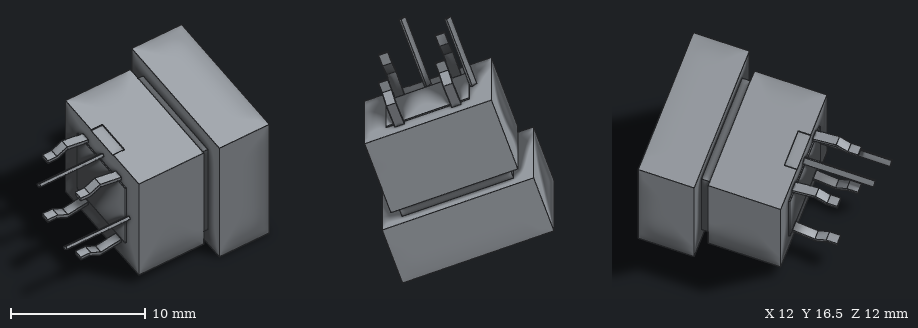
import cadquery as cq
import math


TOTAL_LENGTH = 16.54
CAP_SIDE = 12.0

HOUSING_SIDE = 10.05
HOUSING_LENGTH = 5.75
NECK_SIDE = 8.83
NECK_LENGTH = 0.75
LEAD_LENGTH = 5.6
CAP_LENGTH = TOTAL_LENGTH - LEAD_LENGTH - HOUSING_LENGTH - NECK_LENGTH

PAD_WIDTH = 6.6
PAD_HEIGHT = 6.0
PAD_THICKNESS = 0.1

RECESS_WIDTH = 3.0
RECESS_LENGTH = 1.0
RECESS_DEPTH = 0.1

TERMINAL_WIDTH = 0.75
TERMINAL_THICKNESS = 0.3
TERMINAL_SPACING = 4.5
TERMINAL_LENGTH = 3.6
KINK_DISTANCE = 1.85
TIP_START_DISTANCE = 2.76
ROOT_HEIGHT = 3.43
KINK_HEIGHT = 3.75
TIP_HEIGHT = 3.25

LEAD_WIDTH = 0.5
LEAD_THICKNESS = 0.25
LEAD_ANGLE = 45.0
LEAD_OFFSET = 3.6
LEAD_POSITIONS = [(0, LEAD_OFFSET), (LEAD_OFFSET, 0)]


def block(width, height, y_start, y_end):
    """Box centred on the Y axis, between two Y positions."""
    length = y_end - y_start
    return cq.Workplane("XY").box(width, length, height).translate((0, y_start + length / 2, 0))


def make_body():
    """Housing, neck and cap stacked along +Y, with the pad on the mounting face."""
    neck_start = HOUSING_LENGTH
    cap_start = neck_start + NECK_LENGTH
    housing = block(HOUSING_SIDE, HOUSING_SIDE, 0, neck_start)
    neck = block(NECK_SIDE, NECK_SIDE, neck_start, cap_start)
    cap = block(CAP_SIDE, CAP_SIDE, cap_start, cap_start + CAP_LENGTH)
    pad = block(PAD_WIDTH, PAD_HEIGHT, -PAD_THICKNESS, 0)
    return housing.union(neck).union(cap).union(pad)


def make_recess():
    """Cutter for the recess in the top of the housing."""
    recess = block(RECESS_WIDTH, 2 * RECESS_DEPTH, 0, RECESS_LENGTH)
    return recess.translate((0, 0, HOUSING_SIDE / 2))


def miter_rise(slope_before, slope_after):
    """Shift of an offset corner along and across the Y axis, for two segment slopes in radians."""
    mean_angle = (slope_before + slope_after) / 2
    reach = TERMINAL_THICKNESS / 2 / math.cos((slope_after - slope_before) / 2)
    return -reach * math.sin(mean_angle), reach * math.cos(mean_angle)


def make_terminal(x_center):
    """Upper terminal: a strip of constant thickness that rises, kinks inward and ends straight."""
    rise_slope = math.atan2(KINK_HEIGHT - ROOT_HEIGHT, KINK_DISTANCE)
    fall_slope = math.atan2(TIP_HEIGHT - KINK_HEIGHT, TIP_START_DISTANCE - KINK_DISTANCE)
    root_half = TERMINAL_THICKNESS / 2 / math.cos(rise_slope)
    corners = [
        (0, ROOT_HEIGHT, (0, root_half)),
        (KINK_DISTANCE, KINK_HEIGHT, miter_rise(rise_slope, fall_slope)),
        (TIP_START_DISTANCE, TIP_HEIGHT, miter_rise(fall_slope, 0)),
        (TERMINAL_LENGTH, TIP_HEIGHT, (0, TERMINAL_THICKNESS / 2)),
    ]
    outer = [(-(d + shift[0]), h + shift[1]) for d, h, shift in corners]
    inner = [(-(d - shift[0]), h - shift[1]) for d, h, shift in corners]
    strip = cq.Workplane("YZ").polyline(outer + inner[::-1]).close()
    strip = strip.extrude(TERMINAL_WIDTH / 2, both=True)
    return strip.translate((x_center, 0, 0))


def make_lead(x_center, z_center):
    """Straight lead with its wide faces turned towards +X -Z and -X +Z."""
    lead = block(LEAD_WIDTH, LEAD_THICKNESS, -LEAD_LENGTH, 0)
    lead = lead.rotate((0, 0, 0), (0, 1, 0), -LEAD_ANGLE)
    return lead.translate((x_center, 0, z_center))


result = make_body().cut(make_recess())
for x_terminal in (-TERMINAL_SPACING / 2, TERMINAL_SPACING / 2):
    terminal = make_terminal(x_terminal)
    result = result.union(terminal).union(terminal.mirror("XY"))
for x_lead, z_lead in LEAD_POSITIONS:
    result = result.union(make_lead(x_lead, z_lead))